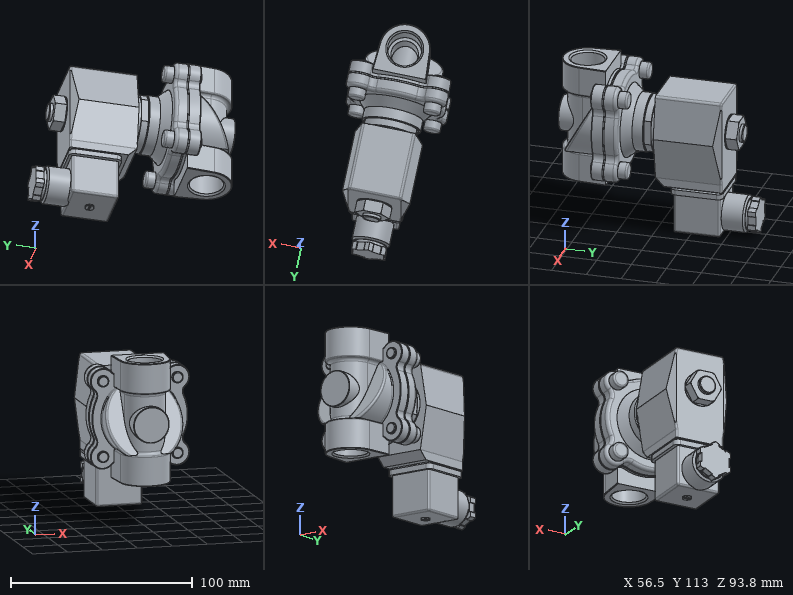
import cadquery as cq
import math


port_end_z = 34.45
port_inner_z = 17.4
port_center_y = 14.1
port_radius = 14.1
port_flat_y = 28.7
port_draft = 4.0
port_rim_chamfer = 0.4
port_inner_round = 0.6
thread_radius = 9.45
thread_depth = 13.0
thread_chamfer = 1.0
bore_radius = 7.55
seat_radius = 8.7
pipe_radius = 11.6
pipe_center_y = 14.5
pipe_draft = 0.5
pipe_port_fillet = 1.9

bowl_radius = 21.8
bowl_edge_round = 1.1
bowl_base_fillet = 0.6
bowl_cut_angle = 30.0
bowl_cut_start_y = 22.4
bowl_cut_start_z = 14.3
plug_radius = 10.15
plug_chamfer = 0.3

bolt_offset = 21.245
lug_radius = 7.0
flange_radius = 27.4
flange_corner_fillet = 4.0
lower_flange_y = 23.8
lower_flange_chamfer = 0.4
gasket_y = 30.4
gasket_inset = 0.25
upper_flange_y = 31.25
upper_flange_top_y = 38.6
upper_flange_round = 2.0
bolt_radius = 3.15
bolt_end_y = 22.5
bolt_end_chamfer = 0.5
bolt_head_radius = 4.75
bolt_head_top_y = 43.95
bolt_head_round = 1.0

bonnet_base_radius = 21.0
collar_y = 44.2
collar_radius = 16.5
groove_y = 50.15
groove_radius = 15.5
wrench_y = 50.55
wrench_radius = 16.1
wrench_half_flats = 14.5
coil_seat_y = 54.6
coil_seat_radius = 15.0
coil_seat_chamfer = 0.4

coil_y = 57.1
coil_end_y = 95.3
coil_half_width = 19.05
coil_narrow_half_width = 14.9
coil_top_z = 22.9
coil_widest_z = -1.5
coil_taper_end_z = -26.1
coil_bottom_z = -31.0
coil_top_round = 1.5
coil_end_round = 1.0
coil_bottom_chamfer = coil_taper_end_z - coil_bottom_z

washer_radius = 9.6
washer_thickness = 0.4
nut_across_flats = 17.1
nut_end_y = 102.25
nut_corner_chamfer = 0.5
stud_radius = 5.1
stud_end_y = 104.3
stud_chamfer = 0.5

plate_half_width = 15.2
plate_y = 65.45
plate_bottom_z = -35.1
plate_corner_radius = 3.0
plate_chamfer = 1.0
box_half_width = 13.15
box_y = 66.95
box_end_y = 93.65
box_bottom_z = -58.6
box_round = 1.1
screw_y = 80.45
screw_radius = 2.55
screw_height = 0.75
screw_slot_width = 0.8

gland_z = -48.15
gland_radius = 10.55
gland_cone_y = 105.8
gland_cone_end_y = 106.8
gland_cone_radius = 9.2
gland_neck_radius = 8.55
gland_nut_y = 108.45
gland_end_y = 113.05
gland_nut_across_flats = 18.9
gland_notch_width = 5.2
gland_notch_depth = 0.8


def disc(radius, start_y, end_y, x=0.0, z=0.0):
    """Cylinder along Y."""
    axis_start = cq.Vector(x, start_y, z)
    return cq.Workplane(cq.Solid.makeCylinder(radius, end_y - start_y, axis_start, cq.Vector(0, 1, 0)))


def block(x_range, y_range, z_range):
    """Axis-aligned box between pairs of limits."""
    sizes = [high - low for low, high in (x_range, y_range, z_range)]
    corner = (x_range[0], y_range[0], z_range[0])
    return cq.Workplane("XY").box(*sizes, centered=False).translate(corner)


def hexagon(across_flats, start_y, end_y, turn=0.0):
    """Hexagonal prism along Y; without a turn two of its corners lie on the X axis."""
    across_corners = across_flats / math.cos(math.pi / 6)
    prism = cq.Workplane("XZ", origin=(0, start_y, 0)).polygon(6, across_corners).extrude(start_y - end_y)
    return prism.rotate((0, 0, 0), (0, 1, 0), turn)


def bolt_places():
    return [(sx * bolt_offset, sz * bolt_offset) for sx in (-1, 1) for sz in (-1, 1)]


def drafted_u(radius, center_y, draft, start_z, end_z):
    """U-shaped bar along Z: round towards -Y, with drafted sides that widen up to the port flat."""
    tilt = math.radians(draft)
    tangent_x = radius * math.cos(tilt)
    tangent_y = center_y - radius * math.sin(tilt)
    flat_x = tangent_x + (port_flat_y - tangent_y) * math.tan(tilt)
    return (
        cq.Workplane("XY", origin=(0, 0, start_z))
        .moveTo(-flat_x, port_flat_y)
        .lineTo(-tangent_x, tangent_y)
        .threePointArc((0, center_y - radius), (tangent_x, tangent_y))
        .lineTo(flat_x, port_flat_y)
        .close()
        .extrude(end_z - start_z)
    )


def cone_frustum(start_radius, end_radius, start_y, end_y):
    """Cone frustum along Y."""
    axis_start = cq.Vector(0, start_y, 0)
    axis = cq.Vector(0, 1, 0)
    return cq.Workplane(cq.Solid.makeCone(start_radius, end_radius, end_y - start_y, axis_start, axis))


def make_port():
    """Upper port, rounded towards the pipe and chamfered at its end."""
    port = drafted_u(port_radius, port_center_y, port_draft, port_inner_z, port_end_z)
    port = port.faces("<Z").edges("not >Y").fillet(port_inner_round)
    return port.faces(">Z").edges("not >Y").chamfer(port_rim_chamfer)


def make_flow_body():
    """Both ports and the pipe between them, joined by concave fillets."""
    port = make_port()
    pipe = drafted_u(pipe_radius, pipe_center_y, pipe_draft, -port_inner_z, port_inner_z)
    body = pipe.union(port).union(port.mirror("XY"))
    margin = 0.1
    tangent_to_flat = port_flat_y - pipe_center_y
    reach_x = pipe_radius + tangent_to_flat * math.tan(math.radians(pipe_draft)) + margin
    for z in (-port_inner_z, port_inner_z):
        joint = cq.selectors.BoxSelector(
            (-reach_x, 0, z - margin),
            (reach_x, port_flat_y - margin, z + margin),
            boundingbox=True,
        )
        body = body.edges(joint).fillet(pipe_port_fillet)
    return body


def make_bowl():
    """Round bowl below the flange, cut off by a sloping plane with a rounded rim."""
    bowl = disc(bowl_radius, 0, gasket_y)
    reach = 4 * bowl_radius
    cutter = block((-reach, reach), (-reach, 0), (-reach, reach))
    cutter = cutter.rotate((0, 0, 0), (1, 0, 0), -bowl_cut_angle)
    bowl = bowl.cut(cutter.translate((0, bowl_cut_start_y, bowl_cut_start_z)))
    bowl = bowl.edges("%ELLIPSE").fillet(bowl_edge_round)
    base = disc(bowl_radius + 2 * bowl_base_fillet, lower_flange_y, gasket_y)
    margin = 0.1
    base_edge = cq.selectors.BoxSelector(
        (-bowl_radius - margin, lower_flange_y - margin, -bowl_radius - margin),
        (bowl_radius + margin, lower_flange_y + margin, bowl_radius + margin),
        boundingbox=True,
    )
    bowl = bowl.union(base).edges(base_edge).fillet(bowl_base_fillet)
    between_ports = block((-reach, reach), (-reach, reach), (-port_inner_z, port_inner_z))
    return bowl.intersect(between_ports)


def make_plug():
    """Round plug on the pipe, opposite the coil."""
    return disc(plug_radius, 0, pipe_center_y).faces("<Y").chamfer(plug_chamfer)


def cut_flow_passage(body):
    """Stepped bore along Z; the seat tube stays standing in its middle."""
    passage = cq.Workplane("XY", origin=(0, port_center_y, -port_end_z)).circle(bore_radius)
    passage = passage.extrude(2 * port_end_z)
    passage = passage.cut(disc(seat_radius, 0, gasket_y))
    thread = cq.Workplane("XY", origin=(0, port_center_y, port_end_z)).circle(thread_radius)
    thread = thread.extrude(-thread_depth)
    mouth = cq.Solid.makeCone(
        thread_radius,
        thread_radius + thread_chamfer,
        thread_chamfer,
        cq.Vector(0, port_center_y, port_end_z - thread_chamfer),
        cq.Vector(0, 0, 1),
    )
    thread = thread.union(cq.Workplane(mouth))
    return body.cut(passage).cut(thread).cut(thread.mirror("XY"))


def make_flange(start_y, end_y, inset=0.0):
    """Round flange with four bolt lugs blended into its rim."""
    flange = disc(flange_radius - inset, start_y, end_y)
    for x, z in bolt_places():
        flange = flange.union(disc(lug_radius - inset, start_y, end_y, x, z))
    corner_reach = bolt_offset + lug_radius / 2
    for sx in (-1, 1):
        for sz in (-1, 1):
            corners = cq.selectors.BoxSelector(
                (sx, start_y, sz),
                (sx * corner_reach, end_y, sz * corner_reach),
            )
            flange = flange.edges("|Y").edges(corners).fillet(flange_corner_fillet + inset)
    return flange


def make_bolt(x, z):
    """Bolt with a round head, its end standing out of the lower flange."""
    shank = disc(bolt_radius, bolt_end_y, upper_flange_top_y, x, z).faces("<Y").chamfer(bolt_end_chamfer)
    head = disc(bolt_head_radius, upper_flange_top_y, bolt_head_top_y, x, z)
    return shank.union(head.faces(">Y").edges().fillet(bolt_head_round))


def make_flanges():
    """Lower flange, gasket, rounded upper flange and the four bolts."""
    upper = make_flange(upper_flange_y, upper_flange_top_y)
    upper = upper.faces(">Y").edges().fillet(upper_flange_round)
    flanges = make_flange(lower_flange_y, gasket_y)
    flanges = flanges.faces("<Y").edges().chamfer(lower_flange_chamfer)
    flanges = flanges.union(make_flange(gasket_y, upper_flange_y, gasket_inset)).union(upper)
    for x, z in bolt_places():
        flanges = flanges.union(make_bolt(x, z))
    return flanges


def make_bonnet():
    """Cone, collar, groove, ring with wrench flats, and the seat of the coil."""
    cone = cone_frustum(bonnet_base_radius, collar_radius, upper_flange_top_y, collar_y)
    collar = disc(collar_radius, collar_y, groove_y)
    groove = disc(groove_radius, groove_y, wrench_y)
    flats = block(
        (-wrench_half_flats, wrench_half_flats),
        (wrench_y, coil_seat_y),
        (-wrench_radius, wrench_radius),
    )
    wrench_ring = disc(wrench_radius, wrench_y, coil_seat_y).intersect(flats)
    coil_seat = disc(coil_seat_radius, coil_seat_y, coil_y).faces(">Y").chamfer(coil_seat_chamfer)
    return cone.union(collar).union(groove).union(wrench_ring).union(coil_seat)


def make_coil():
    """Coil housing, widest near its middle, with cut corners at its end."""
    outline = [
        (coil_narrow_half_width, coil_top_z),
        (coil_half_width, coil_widest_z),
        (coil_narrow_half_width, coil_taper_end_z),
        (coil_narrow_half_width, coil_bottom_z),
    ]
    outline += [(-x, z) for x, z in reversed(outline)]
    coil = cq.Workplane("XZ", origin=(0, coil_y, 0)).polyline(outline).close().extrude(coil_y - coil_end_y)
    coil = coil.edges("|Y and >Z").fillet(coil_top_round)
    coil = coil.edges("<Y and <Z").chamfer(coil_bottom_chamfer)
    coil = coil.faces(">Y").edges("not <Z").fillet(coil_end_round)
    corner = coil_half_width - coil_narrow_half_width
    for side in (-1, 1):
        wedge = (
            cq.Workplane("XY", origin=(0, 0, coil_bottom_z))
            .moveTo(side * coil_narrow_half_width, coil_end_y)
            .lineTo(side * coil_half_width, coil_end_y)
            .lineTo(side * coil_half_width, coil_end_y - corner)
            .close()
            .extrude(coil_top_z - coil_bottom_z)
        )
        coil = coil.cut(wedge)
    return coil


def make_coil_nut():
    """Washer, hexagon nut with chamfered corners, and stud end."""
    washer = disc(washer_radius, coil_end_y, coil_end_y + washer_thickness)
    corner_radius = nut_across_flats / 2 / math.cos(math.pi / 6)
    turned = disc(corner_radius, coil_end_y, nut_end_y).edges().chamfer(nut_corner_chamfer)
    nut = hexagon(nut_across_flats, coil_end_y, nut_end_y).intersect(turned)
    stud = disc(stud_radius, coil_end_y, stud_end_y).faces(">Y").chamfer(stud_chamfer)
    return washer.union(nut).union(stud)


def make_connector():
    """Cable box below the coil, its mounting plate and its slotted screw."""
    plate = block(
        (-plate_half_width, plate_half_width),
        (plate_y, coil_end_y),
        (plate_bottom_z, coil_bottom_z),
    )
    plate = plate.edges("|Z").fillet(plate_corner_radius)
    plate = plate.faces(">Z").edges().chamfer(plate_chamfer)
    box = block(
        (-box_half_width, box_half_width),
        (box_y, box_end_y),
        (box_bottom_z, plate_bottom_z),
    )
    box = box.edges("|Z or <Z").fillet(box_round)
    screw = cq.Workplane("XY", origin=(0, screw_y, box_bottom_z)).circle(screw_radius).extrude(-screw_height)
    slot = block(
        (-screw_radius, screw_radius),
        (screw_y - screw_slot_width / 2, screw_y + screw_slot_width / 2),
        (box_bottom_z - screw_height, box_bottom_z),
    )
    return plate.union(box).union(screw.cut(slot))


def make_gland_nut():
    """Hexagon nut with a shallow notch along the middle of each flat."""
    sides = 6
    turn = 360 / sides
    nut = hexagon(gland_nut_across_flats, gland_nut_y, gland_end_y, turn / 2)
    flat = gland_nut_across_flats / 2
    notch = block(
        (flat - gland_notch_depth, flat),
        (gland_nut_y, gland_end_y),
        (-gland_notch_width / 2, gland_notch_width / 2),
    )
    for side in range(sides):
        nut = nut.cut(notch.rotate((0, 0, 0), (0, 1, 0), turn * side))
    return nut


def make_gland():
    """Cable gland leaving the connector box along Y."""
    barrel = disc(gland_radius, box_end_y - box_round, gland_cone_y)
    cone = cone_frustum(gland_radius, gland_cone_radius, gland_cone_y, gland_cone_end_y)
    neck = disc(gland_neck_radius, gland_cone_end_y, gland_nut_y)
    gland = barrel.union(cone).union(neck).union(make_gland_nut())
    return gland.translate((0, 0, gland_z))


valve_body = cut_flow_passage(make_flow_body().union(make_bowl()).union(make_plug()))
result = valve_body.union(make_flanges()).union(make_bonnet()).union(make_coil())
result = result.union(make_coil_nut()).union(make_connector()).union(make_gland())